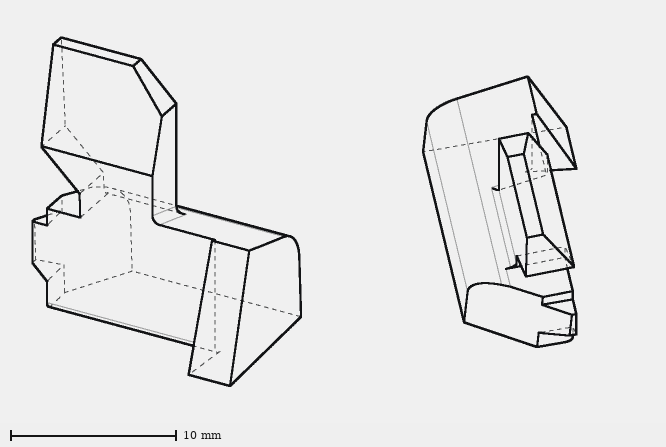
import cadquery as cq
import math

length = 15.15
height = 17.38
far = 26.07

lean = 3.0
lean_slope = math.tan(math.radians(lean))

front_overhang = 2.68
back_bottom = 8.88 - front_overhang
back_bottom_z = (front_overhang + back_bottom) * lean_slope
shoulder_z = 8.13
shoulder_slope = math.tan(math.radians(15))
back_round = 2.54
front_bottom_round = 0.49

wedge_x = 12.62
wedge_side_slope = 0.125
wedge_top_y = -0.28

fin_right = 8.3
fin_back = 2.99
fin_bevel_z = 11.38
fin_tip_front = 1.98
fin_corner = 2.43
fin_root_round = 0.49
fin_embed = 1.74
fin_left_top = (0.35, height)
fin_left_bottom = (0.63, 11.33)
fin_neck_top = (3.27, 8.8)
fin_neck_bottom = (3.32, 7.16)
ledge_z = fin_neck_bottom[1]

end_flat_depth = 0.59
end_angle = 58.4
step_x = 1.0
upper_step_z = 6.0
lower_bevel_top = 3.13
lower_bevel_bottom = 2.12


def prism_along_x(points, x_length):
    return cq.Workplane("YZ").polyline(points).close().extrude(x_length)


def prism_along_y(points):
    return cq.Workplane("XZ").polyline(points).close().extrude(far, both=True)


def shoulder_height(y):
    return shoulder_z - shoulder_slope * y


def make_base():
    corner_y = (back_bottom + lean_slope * (back_bottom_z - shoulder_z)) / (1 - lean_slope * shoulder_slope)
    corner = (corner_y, shoulder_height(corner_y))
    section = [
        (-front_overhang, 0),
        (wedge_top_y, shoulder_height(wedge_top_y)),
        corner,
        (back_bottom, back_bottom_z),
    ]
    base = prism_along_x(section, length)
    base = base.edges(cq.selectors.NearestToPointSelector((length / 2, *corner))).fillet(back_round)
    front_clearance = (
        cq.Workplane("XY")
        .polyline([(-far, 0), (wedge_x, 0), (wedge_x - wedge_side_slope * far, -far), (-far, -far)])
        .close()
        .extrude(far, both=True)
    )
    base = base.cut(front_clearance)
    lower_edge = (wedge_x / 2, 0, front_overhang * lean_slope)
    return base.edges(cq.selectors.NearestToPointSelector(lower_edge)).fillet(front_bottom_round)


def make_fin(base):
    block_bottom = shoulder_height(fin_back) - fin_embed
    block_height = height - block_bottom
    back_block = cq.Workplane("XY").box(length, fin_back, block_height, centered=False)
    back_block = base.union(back_block.translate((0, 0, block_bottom)))
    back_root = (length / 2, fin_back, shoulder_height(fin_back))
    back_block = back_block.edges(cq.selectors.NearestToPointSelector(back_root)).fillet(fin_root_round)

    slope_section = [
        (-far, shoulder_height(-far)),
        (far, shoulder_height(far)),
        (far, -far),
        (-far, -far),
    ]
    right_block = prism_along_x(slope_section, length)
    tall = cq.Workplane("XY").box(fin_right, 2 * far, 3 * far, centered=(False, True, True))
    right_block = right_block.union(tall)
    right_root = (fin_right, 0, shoulder_z)
    right_block = right_block.edges(cq.selectors.NearestToPointSelector(right_root)).fillet(fin_root_round)
    return back_block.intersect(right_block)


def trim_fin(body):
    front_bevel = prism_along_x([(0, fin_bevel_z), (fin_tip_front, height), (0, height)], length)
    top_corner = prism_along_y(
        [(fin_right - fin_corner, height), (fin_right, height), (fin_right, height - fin_corner)]
    )
    left_side = prism_along_y(
        [
            (-far, height),
            fin_left_top,
            fin_left_bottom,
            fin_neck_top,
            fin_neck_bottom,
            (-far, ledge_z),
        ]
    )
    return body.cut(front_bevel).cut(top_corner).cut(left_side)


def cut_left_end(body):
    end_run = far / math.tan(math.radians(end_angle))
    oblique = (
        cq.Workplane("XY")
        .workplane(offset=-far)
        .polyline(
            [
                (0, end_flat_depth),
                (end_run, end_flat_depth + far),
                (-far, end_flat_depth + far),
                (-far, end_flat_depth),
            ]
        )
        .close()
        .extrude(2 * far)
        .rotate((0, 0, 0), (1, 0, 0), lean)
    )
    below_ledge = cq.Workplane("XY").box(4 * far, 4 * far, far, centered=(True, True, False))
    oblique = oblique.intersect(below_ledge.translate((0, 0, ledge_z - far)))

    upper_step = prism_along_y(
        [(-far, upper_step_z), (step_x, upper_step_z), (step_x, far), (-far, far)]
    ).rotate((0, 0, upper_step_z), (1, 0, upper_step_z), lean)
    upper_step = upper_step.intersect(below_ledge.translate((0, 0, ledge_z - far)))

    lower_step = prism_along_y(
        [
            (0, lower_bevel_top),
            (step_x, lower_bevel_bottom),
            (step_x, -far),
            (-far, -far),
            (-far, lower_bevel_top),
        ]
    ).rotate((0, 0, lower_bevel_top), (1, 0, lower_bevel_top), lean)
    return body.cut(oblique).cut(upper_step).cut(lower_step)


result = cut_left_end(trim_fin(make_fin(make_base())))